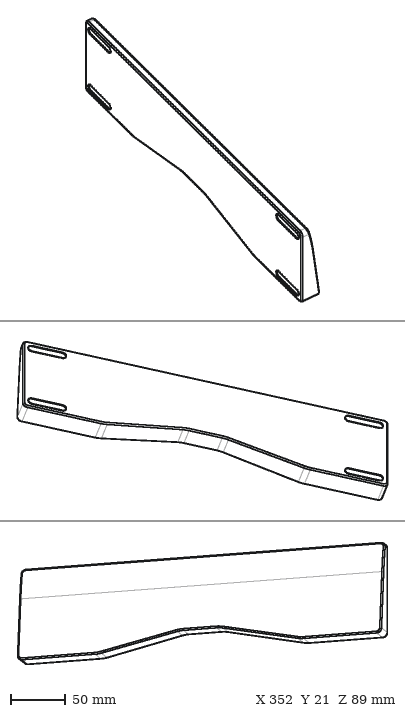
import cadquery as cq

LENGTH = 352.0
HEIGHT = 89.0
DEPTH = 21.0
TOP_DEPTH = 8.5

RIM_BEVEL = 1.5

BACK_NORMAL_LIMIT = 0.5
CURVE_START_Y = 14.0
CURVE_START_Z = 59.8
BACK_SLOPE = (DEPTH - CURVE_START_Y) / (CURVE_START_Z - RIM_BEVEL)
BASE_DEPTH = CURVE_START_Y + BACK_SLOPE * CURVE_START_Z

CORNER_RADIUS = 4.5
RELIEF_HEIGHT = 17.0
RELIEF_BASE_HALF = 97.8
RELIEF_TOP_HALF = 19.0
RELIEF_BLEND_RADIUS = 28.0
RELIEF_MARGIN = 3.5

SLOT_LENGTH = 36.5
SLOT_WIDTH = 7.5
SLOT_DEPTH = 1.0
SLOT_SIDE_INSET = 23.2
SLOT_EDGE_INSET = 8.8


def wedge():
    """Side profile of the plate, extruded over its full length."""
    return (
        cq.Workplane("YZ")
        .moveTo(0, 0)
        .lineTo(BASE_DEPTH, 0)
        .lineTo(CURVE_START_Y, CURVE_START_Z)
        .tangentArcPoint((TOP_DEPTH, HEIGHT), relative=False)
        .lineTo(0, HEIGHT)
        .close()
        .extrude(LENGTH / 2, both=True)
    )


def outline_prism():
    """Front outline with rounded corners and a relief in the lower edge."""
    half = LENGTH / 2
    prism = (
        cq.Workplane("XZ")
        .polyline([
            (-half, 0),
            (-RELIEF_BASE_HALF, 0),
            (-RELIEF_TOP_HALF, RELIEF_HEIGHT),
            (RELIEF_TOP_HALF, RELIEF_HEIGHT),
            (RELIEF_BASE_HALF, 0),
            (half, 0),
            (half, HEIGHT),
            (-half, HEIGHT),
        ])
        .close()
        .extrude(-BASE_DEPTH)
    )
    prism = prism.edges("|Y and (<X or >X)").fillet(CORNER_RADIUS)
    reach = RELIEF_BASE_HALF + RELIEF_MARGIN
    relief_zone = cq.selectors.BoxSelector(
        (-reach, 0, -RELIEF_MARGIN),
        (reach, BASE_DEPTH, RELIEF_HEIGHT + RELIEF_MARGIN),
    )
    return prism.edges("|Y").edges(relief_zone).fillet(RELIEF_BLEND_RADIUS)


def slots():
    """Cutters for the four round-ended slots."""
    x = LENGTH / 2 - SLOT_SIDE_INSET
    centres = [(sx * x, z) for sx in (-1, 1) for z in (SLOT_EDGE_INSET, HEIGHT - SLOT_EDGE_INSET)]
    return cq.Workplane("XZ").pushPoints(centres).slot2D(SLOT_LENGTH, SLOT_WIDTH).extrude(-SLOT_DEPTH)


def bevel_back_rim(plate):
    """Bevel the border of the back, leaving the seam between its two faces intact."""
    back_faces = [face for face in plate.faces().vals() if face.normalAt().y > BACK_NORMAL_LIMIT]
    edges = [edge for face in back_faces for edge in face.Edges()]
    border = [edge for edge in edges if sum(edge.isSame(other) for other in edges) == 1]
    return plate.newObject(border).chamfer(RIM_BEVEL)


plate = wedge().intersect(outline_prism())
plate = plate.faces("<Y").chamfer(RIM_BEVEL)
plate = bevel_back_rim(plate)
result = plate.cut(slots())